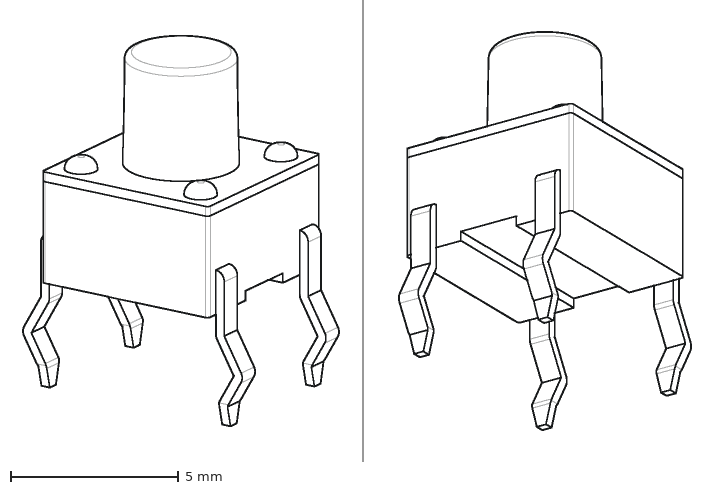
import cadquery as cq
import math


total_height = 10.5
pin_span = 7.9
side = 6.0
corner_radius = 0.1
sheet = 0.3

housing_bottom = 3.5
cover_top = 7.0
cover_bottom = cover_top - sheet
notch_width = 2.0
notch_depth = 0.3

rivet_diameter = 1.0
rivet_height = 0.4
rivet_pitch = 4.3

button_base_diameter = 3.5
button_draft = 1.0
button_edge_radius = 0.2

pin_width = 0.7
pin_tip_width = 0.34
pin_taper_height = 0.75
pin_pitch = 4.49
pin_top = 4.9
pin_tip_gap = 0.1
bend_height = 1.68
pin_lean = math.radians(30)


def square_block(bottom, top):
    """Square block with rounded vertical corners between two levels."""
    return (
        cq.Workplane("XY", origin=(0, 0, bottom))
        .rect(side, side)
        .extrude(top - bottom)
        .edges("|Z")
        .fillet(corner_radius)
    )


def make_housing():
    """Block with a shallow channel along X across its underside."""
    notch = (
        cq.Workplane("XY", origin=(0, 0, housing_bottom))
        .rect(side, notch_width)
        .extrude(notch_depth)
    )
    return square_block(housing_bottom, cover_bottom).cut(notch)


def make_rivet_head():
    """Round head with a quarter-circle edge and a small flat, centred on the Z axis."""
    flat_radius = rivet_diameter / 2 - rivet_height
    half_chord = rivet_height * math.sin(math.pi / 4)
    return (
        cq.Workplane("XZ", origin=(0, 0, cover_top))
        .lineTo(rivet_diameter / 2, 0)
        .threePointArc((flat_radius + half_chord, half_chord), (flat_radius, rivet_height))
        .lineTo(0, rivet_height)
        .close()
        .revolve(360, (0, 0), (0, 1))
    )


def make_cover():
    """Plate with a rivet head near each corner."""
    cover_plate = square_block(cover_bottom, cover_top)
    for rivet_x in (-rivet_pitch / 2, rivet_pitch / 2):
        for rivet_y in (-rivet_pitch / 2, rivet_pitch / 2):
            cover_plate = cover_plate.union(make_rivet_head().translate((rivet_x, rivet_y, 0)))
    return cover_plate


def make_button():
    """Slightly tapered round button with a rounded top edge, standing on the cover."""
    return (
        cq.Workplane("XY", origin=(0, 0, cover_top))
        .circle(button_base_diameter / 2)
        .extrude(total_height - cover_top, taper=button_draft)
        .faces(">Z")
        .edges()
        .fillet(button_edge_radius)
    )


def arc_point(center, angle):
    """Point one sheet thickness from a bend centre, at an angle from +X in the XZ plane."""
    return (center[0] + sheet * math.cos(angle), center[1] + sheet * math.sin(angle))


def make_pin():
    """Bent pin on the +X side, centred on Y = 0."""
    wall_x = side / 2
    tip_x = wall_x + pin_tip_gap
    outer_bend = (pin_span / 2 - sheet, bend_height)
    upper_reach = outer_bend[0] - (wall_x + sheet)
    upper_rise = sheet / math.sin(pin_lean) + upper_reach / math.tan(pin_lean)
    upper_bend = (wall_x + sheet, bend_height + upper_rise)
    lower_reach = outer_bend[0] - (tip_x + sheet)
    lower_drop = sheet / math.sin(pin_lean) + lower_reach / math.tan(pin_lean)
    lower_bend = (tip_x + sheet, bend_height - lower_drop)
    top_center = (wall_x, pin_top - sheet)

    strip = (
        cq.Workplane("XZ")
        .moveTo(wall_x, pin_top)
        .lineTo(wall_x, upper_bend[1])
        .threePointArc(
            arc_point(upper_bend, math.pi + pin_lean / 2),
            arc_point(upper_bend, math.pi + pin_lean),
        )
        .lineTo(*outer_bend)
        .lineTo(*arc_point(lower_bend, math.pi - pin_lean))
        .threePointArc(arc_point(lower_bend, math.pi - pin_lean / 2), (tip_x, lower_bend[1]))
        .lineTo(tip_x, 0)
        .lineTo(tip_x + sheet, 0)
        .lineTo(*lower_bend)
        .lineTo(*arc_point(outer_bend, -pin_lean))
        .threePointArc(arc_point(outer_bend, 0), arc_point(outer_bend, pin_lean))
        .lineTo(*upper_bend)
        .lineTo(*arc_point(top_center, 0))
        .threePointArc(arc_point(top_center, math.pi / 4), (wall_x, pin_top))
        .close()
        .extrude(pin_width / 2, both=True)
    )

    face_outline = (
        cq.Workplane("YZ")
        .moveTo(-pin_width / 2, pin_top)
        .lineTo(-pin_width / 2, pin_taper_height)
        .lineTo(-pin_tip_width / 2, 0)
        .lineTo(pin_tip_width / 2, 0)
        .lineTo(pin_width / 2, pin_taper_height)
        .lineTo(pin_width / 2, pin_top)
        .close()
        .extrude(pin_span / 2)
    )
    return strip.intersect(face_outline)


housing = make_housing()
cover = make_cover()
button = make_button()

pins = []
for pin_y in (-pin_pitch / 2, pin_pitch / 2):
    for turn in (0, 180):
        pin = make_pin().rotate((0, 0, 0), (0, 0, 1), turn).translate((0, pin_y, 0))
        pins.append(pin.val())

result = cq.Compound.makeCompound([housing.val(), cover.val(), button.val(), *pins])